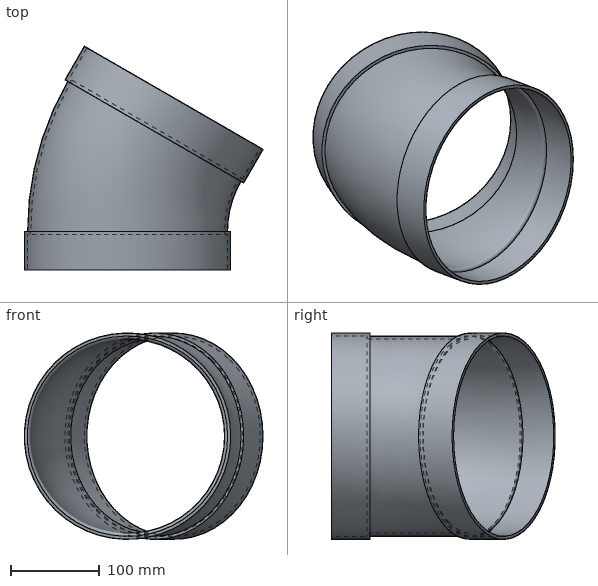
import cadquery as cq
import math

pipe_diameter = 225.0
wall = 3.5
bend_angle = 30.0
bend_radius = 225.0
socket_depth = 40.0

pipe_radius = pipe_diameter / 2
bore_radius = pipe_radius - wall
collar_radius = pipe_radius + wall
collar_length = socket_depth + wall
angle = math.radians(bend_angle)
far_x = bend_radius * (1 - math.cos(angle)) + collar_length * math.sin(angle)
far_y = collar_length + bend_radius * math.sin(angle) + collar_length * math.cos(angle)

near_mouth = cq.Plane(origin=(0, 0, 0), xDir=(1, 0, 0), normal=(0, 1, 0))
far_mouth = cq.Plane(
    origin=(far_x, far_y, 0),
    xDir=(math.cos(angle), -math.sin(angle), 0),
    normal=(-math.sin(angle), -math.cos(angle), 0),
)


def bend():
    """Curved tube between the two collars, turning from +Y towards +X."""
    start = cq.Workplane(near_mouth).workplane(offset=collar_length)
    ring = start.circle(pipe_radius).circle(bore_radius)
    return ring.revolve(bend_angle, (bend_radius, 0), (bend_radius, 1))


def collar(mouth):
    """Socket collar with a rounded inner stop for the inserted pipe."""
    section = (
        cq.Workplane("XY")
        .moveTo(pipe_radius, 0)
        .lineTo(collar_radius, 0)
        .lineTo(collar_radius, collar_length)
        .lineTo(bore_radius, collar_length)
        .radiusArc((pipe_radius, socket_depth), -wall)
        .close()
    )
    ring = section.revolve(360, (0, 0), (0, 1))
    return ring.rotate((0, 0, 0), (1, 0, 0), 90).val().moved(cq.Location(mouth))


near_collar = collar(near_mouth)
far_collar = collar(far_mouth)
result = cq.Workplane(bend().union(near_collar).union(far_collar).solids().val())